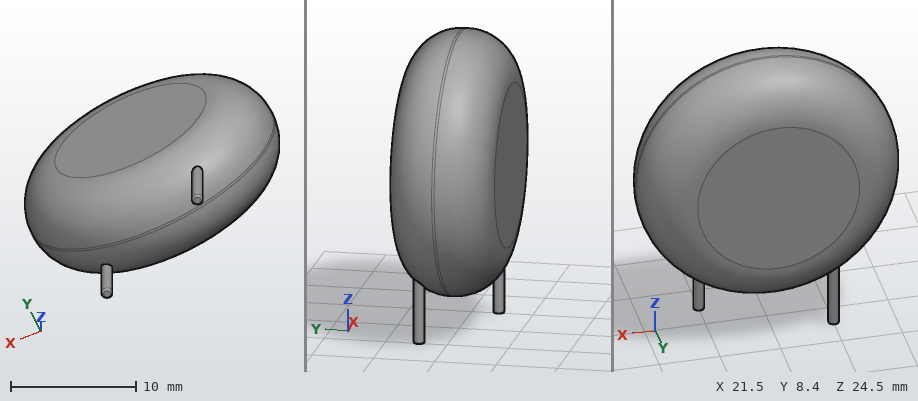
import cadquery as cq

body_diameter = 21.5
body_thickness = 8.4
rim_band_width = 0.2
edge_radius = (body_thickness - rim_band_width) / 2
body_center_z = body_diameter / 2

lead_diameter = 0.9
lead_pitch_x = 10.0
lead_pitch_y = 4.5
overall_height = 24.53
lead_length_below_body = overall_height - body_diameter
lead_tip_round = 0.18


def make_body():
    """Round disc with both circular edges rounded."""
    back_face = cq.Workplane("XZ", origin=(0, body_thickness / 2, body_center_z))
    disc = back_face.circle(body_diameter / 2).extrude(body_thickness)
    return disc.faces("<Y or >Y").edges().fillet(edge_radius)


def make_lead(x, y):
    """Straight lead from inside the disc down to its rounded tip."""
    length = body_center_z + lead_length_below_body
    lead = cq.Workplane("XY").circle(lead_diameter / 2).extrude(length)
    lead = lead.faces("<Z").edges().fillet(lead_tip_round)
    return lead.translate((x, y, -lead_length_below_body))


result = make_body()
for side in (-1, 1):
    result = result.union(make_lead(side * lead_pitch_x / 2, -side * lead_pitch_y / 2))